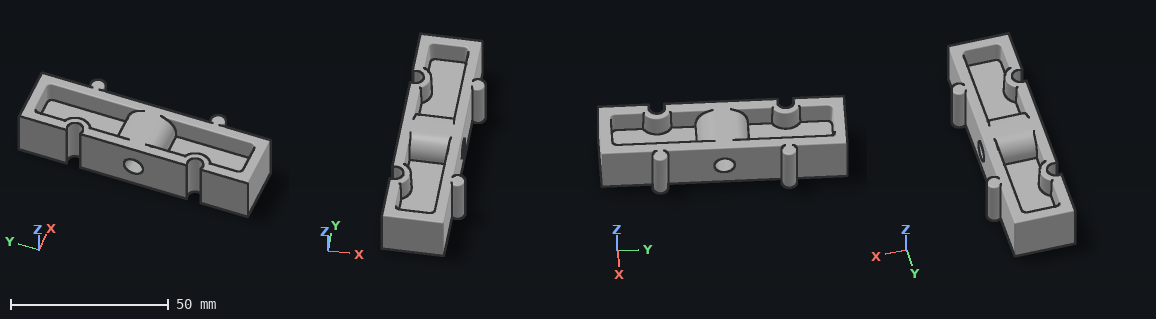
import cadquery as cq

width = 20.0
length = 78.0
height = 16.1
edge_radius = 0.5

joint_offset = 20.4
joint_center_inset = 1.4
groove_radius = 2.6
groove_mouth_half_width = 2.35
pin_radius = 2.5
pin_center_x = width + joint_center_inset

rim_wall = 3.3
recess_depth = 7.0
recess_draft = 2.5
recess_corner_diameter = 3.2
groove_rim_radius = 4.45
groove_wall_radius = groove_rim_radius + edge_radius

rib_half_thickness = 8.3
rib_shoulder_radius = 6.0

cross_hole_diameter = 6.5


def cylinder(x, y, radius):
    return cq.Workplane("XY").center(x, y).circle(radius).extrude(height)


def make_block():
    """Block with its pins; the edges of both are rounded except around the X = 0 face."""
    block = cq.Workplane("XY").box(width, length, height, centered=(False, True, False))
    for y in (-joint_offset, joint_offset):
        block = block.union(cylinder(pin_center_x, y, pin_radius))
    pin_side_edges = block.edges("<Z or >Z").edges("not <X")
    corner_edges = block.edges("|Z and (>Y or <Y)").edges(">X")
    return pin_side_edges.add(corner_edges).fillet(edge_radius)


def drafted(section, top_is_wider):
    """Extrude a section from the top face down to the recess floor with the recess draft."""
    taper = recess_draft if top_is_wider else -recess_draft
    return section.extrude(-recess_depth, taper=taper)


def make_recess():
    """Drafted rectangular recess, leaving a drafted round wall around each groove."""
    inset = rim_wall + edge_radius
    top_plane = cq.Workplane("XY", origin=(0, 0, height))
    opening = top_plane.center(width / 2, 0).rect(width - 2 * inset, length - 2 * inset)
    recess = drafted(opening, top_is_wider=True)
    recess = recess.edges("not #Z").fillet(recess_corner_diameter / 2)
    for y in (-joint_offset, joint_offset):
        groove_wall = top_plane.center(joint_center_inset, y).circle(groove_wall_radius)
        recess = recess.cut(drafted(groove_wall, top_is_wider=False))
    return recess


def make_rib():
    """Rib across the recess, as long as the rounded rim is wide."""
    rib_length = width - 2 * rim_wall
    rib = (
        cq.Workplane("XY", origin=(width / 2, 0, height - recess_depth))
        .box(rib_length, 2 * rib_half_thickness, recess_depth, centered=(True, True, False))
    )
    return rib.edges("|X and >Z").fillet(rib_shoulder_radius)


def make_groove(y):
    mouth = (
        cq.Workplane("XY")
        .center(joint_center_inset / 2, y)
        .rect(joint_center_inset, 2 * groove_mouth_half_width)
        .extrude(height)
    )
    bore = cylinder(joint_center_inset, y, groove_radius)
    return bore.union(mouth)


body = make_block().cut(make_recess())
rim_tolerance = 0.01
recess_rim = cq.selectors.BoxSelector(
    (rim_wall, -length / 2 + rim_wall, height - rim_tolerance),
    (width - rim_wall, length / 2 - rim_wall, height + rim_tolerance),
)
body = body.faces(">Z").edges(recess_rim).fillet(edge_radius)
body = body.union(make_rib())

for joint_y in (-joint_offset, joint_offset):
    body = body.cut(make_groove(joint_y))

cross_hole = (
    cq.Workplane("YZ")
    .center(0, height / 2)
    .circle(cross_hole_diameter / 2)
    .extrude(width)
)
result = body.cut(cross_hole)